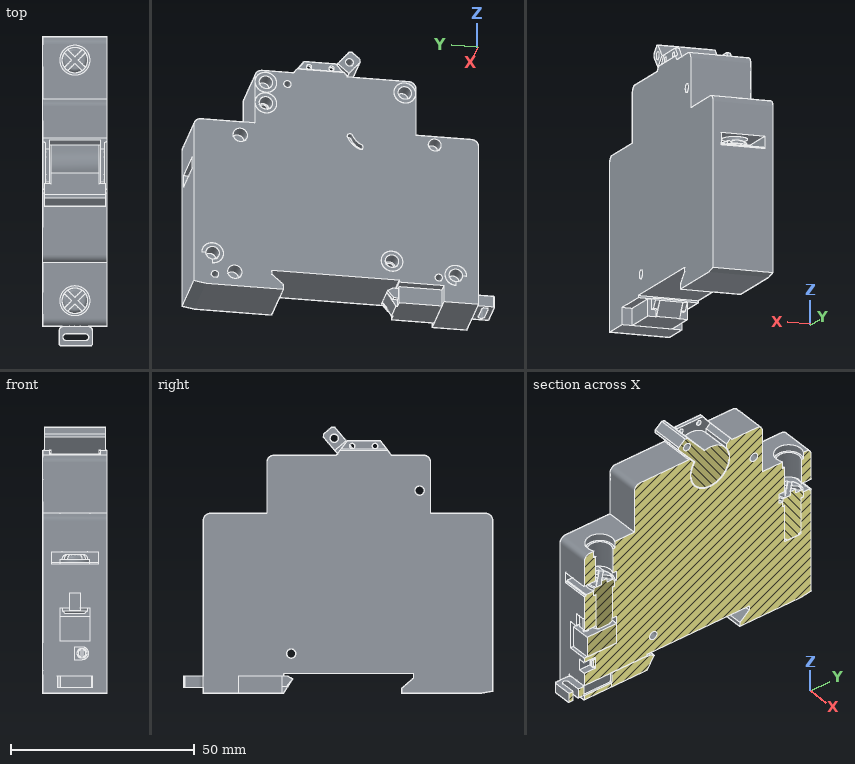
import cadquery as cq
import math


half_width = 8.75
depth = 78.8
shoulder_z = 49.0
top_z = 64.8
tower_front_y = 17.3
tower_back_y = 61.9
corner_radius = 2.0
rail_seat_z = 5.4
back_foot_y = 54.0
rail_hook_y = 57.2
rail_hook_z = 4.2
foot_tip_z = 1.4
heel_y = 75.3
heel_z = 0.6
far = 25.2

hood_mid_y = 43.7
hood_half_base = 7.5
hood_half_top = 4.45
hood_top_z = 68.8
hood_wall_x = 8.0
hood_step_z = 66.0
hood_step_top_z = 66.5
opening_half_width = 6.9
opening_back_y = 49.3
opening_back_z = 64.1
bevel_angle = 41.0
opening_sill_z = 65.2
wall_hole_ys = (40.5, 46.7)
wall_hole_z = 67.25
wall_hole_diameter = 1.4

drum_y = 43.6
drum_z = 59.1
drum_radius = 6.6
drum_half_width = 6.55
drum_clearance = 0.1
lever_root_y = 39.0
lever_root_z = 68.6
lever_angle = 49.5
lever_thickness = 4.1
grip_length = 5.55
grip_start = 0.2
grip_half_width = 8.3
grip_chamfer = 0.6
grip_hole_diameter = 2.2
neck_length = 7.6

front_screw_y = 7.0
back_screw_y = 72.4
screw_hole_diameter = 8.15
screw_ledge_diameter = 7.0
screw_ledge_z = 46.8
screw_head_z = 36.5
screw_flange_z = 34.0
screw_flange_diameter = 8.1
dome_radius = 3.45
dome_top_radius = 2.4
dome_height = 1.3
dome_bulge_radius = 3.2
dome_bulge_height = 0.8
cross_width = 1.3
shank_diameter = 6.7
shank_tip_z = 21.8
shank_chamfer = 0.7
wire_slot_width = 12.7
wire_slot_bottom_z = 35.1
sill_height = 0.4
sill_start = 0.6
wire_slot_top_z = 38.5
wire_slot_depth = 11.2

window_width = 8.15
window_bottom_z = 14.3
window_top_z = 23.2
window_depth = 11.2
clamp_top_z = 20.9
face_recess = 1.0
notch_width = 2.95
notch_top_z = 27.3
tongue_bottom_z = 22.6
tongue_thickness = 0.8

adjuster_x = 1.9
adjuster_z = 10.9
adjuster_hole_radius = 1.8
adjuster_hole_flat_x = -0.1
adjuster_hole_depth = 3.8
adjuster_diameter = 2.7
adjuster_height = 1.0
adjuster_chamfer = 0.3
adjuster_slot_width = 0.5
adjuster_slot_depth = 0.4

latch_front_y = 9.6
latch_back_y = 21.4
pocket_back_y = 21.9
latch_top_z = 4.8
latch_half_width = 5.8
latch_slot_bottom_z = 1.6
latch_slot_width = 9.6
tail_width = 2.9
tab_offset_x = 0.25
tab_width = 9.1
tab_length = 5.3
tab_radius = 1.2
tab_chamfer = 0.3
tab_hole_length = 7.0
tab_hole_width = 1.8
tab_hole_y = -2.95
nose_tip_y = 24.4
nose_tip_z = 3.95
nose_top_y = 22.95
nose_bottom_y = 21.85
nose_half_width = 3.4
nose_cheek_half_width = 4.6
cheek_z = 1.9
cheek_y = 22.7

side_hole_depth = 4.2
side_hole_taper = 0.4
boss_height = 0.1
boss_diameter = 6.0
rivet_through_diameter = 2.4
plain_holes = [(65.9, 45.05, 3.95), (12.1, 46.5, 3.5), (67.4, 4.1, 3.95)]
pin_holes = [(52.9, 61.3, 2.0), (72.9, 3.0, 2.0), (11.0, 7.1, 2.0)]
rivet_diameter = 3.7
blind_rivets = [(58.8, 61.3), (20.4, 61.3)]
through_rivets = [(58.8, 55.15), (23.95, 10.85)]
front_corner_rivet = (6.3, 8.1)
back_corner_rivet = (73.55, 9.25)

arc_start = (35.55, 47.15)
arc_middle = (34.4, 45.4)
arc_end = (32.7, 44.2)
arc_slot_width = 1.5
arc_slot_depth = 2.5


def box(x0, x1, y0, y1, z0, z1):
    return cq.Workplane("XY").box(x1 - x0, y1 - y0, z1 - z0, centered=False).translate((x0, y0, z0))


def side_prism(points, half):
    """Prism across the width from an outline given in (y, z)."""
    return cq.Workplane("YZ").polyline(points).close().extrude(half, both=True)


def side_cylinder(y, z, radius, x0, x1):
    return cq.Workplane("YZ", origin=(x0, 0, 0)).center(y, z).circle(radius).extrude(x1 - x0)


def upright(y, radius, z0, z1):
    return cq.Workplane("XY", origin=(0, y, z0)).circle(radius).extrude(z1 - z0)


def lever_point(along, under):
    """Point (y, z) measured along the lever and down from its upper face."""
    c = math.cos(math.radians(lever_angle))
    s = math.sin(math.radians(lever_angle))
    return lever_root_y - along * c - under * s, lever_root_z + along * s - under * c


def lever_bar(start, end, thickness, half):
    corners = [(start, 0), (end, 0), (end, thickness), (start, thickness)]
    return side_prism([lever_point(*corner) for corner in corners], half)


def housing_block():
    outline = [
        (0, 0), (0, shoulder_z), (tower_front_y, shoulder_z), (tower_front_y, top_z),
        (hood_mid_y - hood_half_base, top_z), (hood_mid_y - hood_half_top, hood_top_z),
        (hood_mid_y + hood_half_top, hood_top_z), (hood_mid_y + hood_half_base, top_z),
        (tower_back_y, top_z), (tower_back_y, shoulder_z), (depth, shoulder_z), (depth, heel_z),
        (heel_y, 0), (back_foot_y, 0), (back_foot_y, foot_tip_z), (rail_hook_y, rail_hook_z),
        (rail_hook_y, rail_seat_z), (pocket_back_y, rail_seat_z), (pocket_back_y, latch_top_z),
        (latch_front_y, latch_top_z), (latch_front_y, 0),
    ]
    block = side_prism(outline, half_width)
    rounded = [(0, shoulder_z), (tower_front_y, top_z), (tower_back_y, top_z), (depth, shoulder_z)]
    for y, z in rounded:
        block = block.edges(cq.selectors.NearestToPointSelector((0, y, z))).fillet(corner_radius)
    return block


def hood_cuts(body):
    trim = [
        (half_width, hood_step_z), (hood_wall_x, hood_step_top_z), (hood_wall_x, hood_top_z),
        (half_width, hood_top_z),
    ]
    for side in (1, -1):
        points = [(side * x, z) for x, z in trim]
        start = cq.Workplane("XZ", origin=(0, hood_mid_y, 0))
        body = body.cut(start.polyline(points).close().extrude(hood_half_base, both=True))
    bevel_end_y = hood_mid_y + hood_half_base
    bevel_rise = (bevel_end_y - opening_back_y) * math.tan(math.radians(bevel_angle))
    opening = [
        (drum_y, drum_z), (opening_back_y, drum_z), (opening_back_y, opening_back_z),
        (bevel_end_y, opening_back_z + bevel_rise), (bevel_end_y, hood_top_z),
        (hood_mid_y - hood_half_base, hood_top_z), (hood_mid_y - hood_half_base, opening_sill_z),
        (drum_y, opening_sill_z),
    ]
    body = body.cut(side_prism(opening, opening_half_width))
    cavity_radius = drum_radius + drum_clearance
    body = body.cut(side_cylinder(drum_y, drum_z, cavity_radius, -opening_half_width, opening_half_width))
    passage = lever_bar(-neck_length, grip_length, lever_thickness + drum_clearance, opening_half_width)
    body = body.cut(passage)
    for y in wall_hole_ys:
        body = body.cut(side_cylinder(y, wall_hole_z, wall_hole_diameter / 2, -far, far))
    return body


def terminal_cuts(body):
    """Stepped screw holes and wire slots, alike at the front and the back."""
    for y, face_y, inward in ((front_screw_y, 0, 1), (back_screw_y, depth, -1)):
        body = body.cut(upright(y, screw_hole_diameter / 2, screw_ledge_z, shoulder_z))
        body = body.cut(upright(y, screw_ledge_diameter / 2, screw_head_z, screw_ledge_z))
        slot_y = sorted((face_y, face_y + inward * wire_slot_depth))
        half = wire_slot_width / 2
        sill_y = sorted((face_y, face_y + inward * sill_start))
        sill_z = wire_slot_bottom_z + sill_height
        body = body.cut(box(-half, half, *sill_y, wire_slot_bottom_z, sill_z))
        body = body.cut(box(-half, half, *slot_y, sill_z, wire_slot_top_z))
        body = body.cut(upright(y, screw_flange_diameter / 2, screw_flange_z, screw_head_z))
        body = body.cut(upright(y, shank_diameter / 2, shank_tip_z, screw_flange_z))
    return body


def clamp_window_cut(body):
    """Window for the clamp, with a shallow notch above whose floor hangs down as a tongue."""
    half = window_width / 2
    body = body.cut(box(-half, half, 0, window_depth, window_bottom_z, window_top_z))
    half = notch_width / 2
    body = body.cut(box(-half, half, 0, face_recess, window_top_z, notch_top_z))
    tongue_back_y = face_recess + tongue_thickness
    return body.union(box(-half, half, face_recess, tongue_back_y, tongue_bottom_z, window_top_z))


def adjuster_cut(body):
    start = cq.Workplane("XZ", origin=(adjuster_x, 0, adjuster_z))
    hole = start.circle(adjuster_hole_radius).extrude(-adjuster_hole_depth)
    corner = box(
        adjuster_hole_flat_x, adjuster_x, 0, adjuster_hole_depth,
        adjuster_z - adjuster_hole_radius, adjuster_z + adjuster_hole_radius,
    )
    return body.cut(hole).cut(corner)


def latch_slot_cut(body):
    half = latch_slot_width / 2
    return body.cut(box(-half, half, 0, latch_front_y, latch_slot_bottom_z, latch_top_z))


def side_details(body):
    """Thin bosses and tapered blind holes on the left side, and the curved slot."""
    corner_rivets = [(front_corner_rivet, -1), (back_corner_rivet, 1)]
    face = -half_width
    radius = boss_diameter / 2
    for y, z in blind_rivets + through_rivets:
        body = body.union(side_cylinder(y, z, radius, face - boss_height, face))
    for (y, z), outward in corner_rivets:
        boss = side_cylinder(y, z, radius, face - boss_height, face)
        gap_y = sorted((y, y + outward * radius))
        gap = box(face - boss_height, face, *gap_y, z - radius, z)
        body = body.union(boss.cut(gap))
    rivets = blind_rivets + through_rivets + [place for place, _ in corner_rivets]
    holes = plain_holes + pin_holes + [(y, z, rivet_diameter) for y, z in rivets]
    for y, z, diameter in holes:
        mouth = cq.Vector(face - boss_height, y, z)
        floor_radius = (diameter - side_hole_taper) / 2
        hole = cq.Solid.makeCone(diameter / 2, floor_radius, side_hole_depth, mouth, cq.Vector(1, 0, 0))
        body = body.cut(cq.Workplane(hole))
    for y, z in through_rivets:
        body = body.cut(side_cylinder(y, z, rivet_through_diameter / 2, -far, far))
    start = cq.Workplane("YZ", origin=(face, 0, 0))
    path = start.moveTo(*arc_start).threePointArc(arc_middle, arc_end)
    slot = path.offset2D(arc_slot_width / 2).extrude(arc_slot_depth)
    return body.cut(slot)


def make_housing():
    body = hood_cuts(housing_block())
    body = terminal_cuts(body)
    body = clamp_window_cut(body)
    body = adjuster_cut(body)
    body = latch_slot_cut(body)
    return side_details(body)


def make_handle():
    drum = side_cylinder(drum_y, drum_z, drum_radius, -drum_half_width, drum_half_width)
    neck = lever_bar(-neck_length, grip_start, lever_thickness, drum_half_width)
    grip = lever_bar(grip_start, grip_length, lever_thickness, grip_half_width)
    for under in (0, lever_thickness):
        corner = (0, *lever_point(grip_length, under))
        grip = grip.edges(cq.selectors.NearestToPointSelector(corner)).chamfer(grip_chamfer)
    handle = drum.union(neck).union(grip)
    hole_y, hole_z = lever_point(grip_length / 2, lever_thickness / 2)
    return handle.cut(side_cylinder(hole_y, hole_z, grip_hole_diameter / 2, -far, far))


def make_terminal_screw(y):
    """Screw with a flat flange and a domed head split by a diagonal cross."""
    dome_top_z = screw_head_z + dome_height
    shank = upright(y, shank_diameter / 2, shank_tip_z, screw_flange_z)
    shank = shank.faces("<Z").chamfer(shank_chamfer)
    flange = upright(y, screw_flange_diameter / 2, screw_flange_z, screw_head_z)
    bulge = (dome_bulge_radius, screw_head_z + dome_bulge_height)
    dome = (
        cq.Workplane("XZ").moveTo(0, screw_head_z).lineTo(dome_radius, screw_head_z)
        .threePointArc(bulge, (dome_top_radius, dome_top_z)).lineTo(0, dome_top_z).close()
        .revolve(360, (0, 0, 0), (0, 1, 0)).translate((0, y, 0))
    )
    for angle in (45, -45):
        groove = cq.Workplane("XY").box(far, cross_width, dome_height, centered=(True, True, False))
        dome = dome.cut(groove.rotate((0, 0, 0), (0, 0, 1), angle).translate((0, y, screw_head_z)))
    return shank.union(flange).union(dome)


def make_clamp():
    half = window_width / 2
    return box(-half, half, face_recess, window_depth, window_bottom_z, clamp_top_z)


def make_adjuster():
    start = cq.Workplane("XZ", origin=(adjuster_x, adjuster_hole_depth, adjuster_z))
    head = start.circle(adjuster_diameter / 2).extrude(adjuster_height)
    head = head.faces("<Y").chamfer(adjuster_chamfer)
    front_y = adjuster_hole_depth - adjuster_height
    half = adjuster_slot_width / 2
    slot = box(
        adjuster_x - half, adjuster_x + half, front_y, front_y + adjuster_slot_depth,
        adjuster_z - adjuster_diameter, adjuster_z + adjuster_diameter,
    )
    return head.cut(slot)


def make_latch():
    slide = box(-latch_half_width, latch_half_width, latch_front_y, latch_back_y, 0, latch_top_z)
    tail = box(-tail_width / 2, tail_width / 2, 0, latch_front_y, latch_slot_bottom_z, latch_top_z)
    tab_left = tab_offset_x - tab_width / 2
    tab = box(tab_left, tab_left + tab_width, -tab_length, 0, latch_slot_bottom_z, latch_top_z)
    tab = tab.edges("|Z and >Y").fillet(tab_radius)
    tab = tab.edges("|Z and <Y").chamfer(tab_chamfer)
    hole = (
        cq.Workplane("XY").center(tab_offset_x, tab_hole_y)
        .slot2D(tab_hole_length, tab_hole_width).extrude(latch_top_z)
    )
    nose_top = [(nose_tip_y, nose_tip_z), (nose_top_y, latch_top_z), (latch_back_y, latch_top_z)]
    nose = side_prism([(latch_back_y, 0), (nose_bottom_y, 0)] + nose_top, nose_half_width)
    cheeks = side_prism([(latch_back_y, cheek_z), (cheek_y, cheek_z)] + nose_top, nose_cheek_half_width)
    return slide.union(tail).union(tab.cut(hole)).union(nose).union(cheeks)


housing = make_housing()
handle = make_handle()
terminal_screws = [make_terminal_screw(y) for y in (front_screw_y, back_screw_y)]
clamp = make_clamp()
adjuster = make_adjuster()
latch = make_latch()

result = cq.Compound.makeCompound([
    housing.val(),
    handle.val(),
    *[screw.val() for screw in terminal_screws],
    clamp.val(),
    adjuster.val(),
    latch.val(),
])